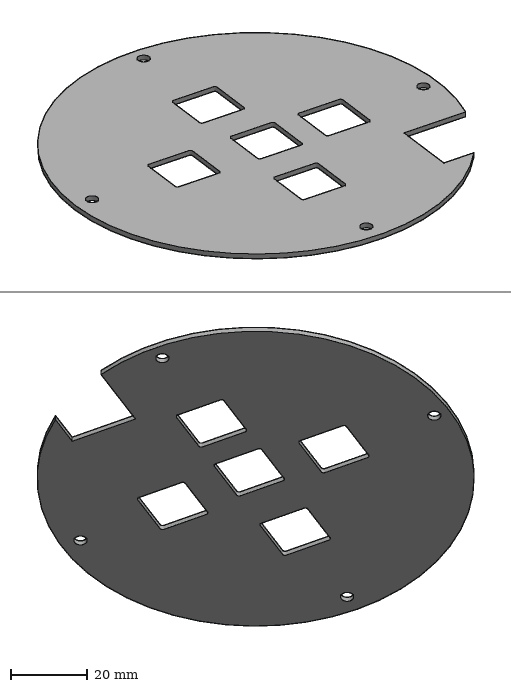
import cadquery as cq

plate_diameter = 114.9
plate_thickness = 1.5

screw_hole_diameter = 3.5
left_hole_x = -53.0
right_hole_x = 52.0
top_hole_y = 53.0
bottom_hole_y = -52.0
screw_hole_centers = [
    (left_hole_x, 0),
    (right_hole_x, 0),
    (0, top_hole_y),
    (0, bottom_hole_y),
]

window_size = 14.0
window_corner_radius = 0.7
cross_x = 0.3
middle_row_y = 0.7
side_spacing = 23.9
center_window_y = 3.0
upper_window_y = 24.5
lower_window_y = -23.1
window_centers = [
    (cross_x, center_window_y),
    (cross_x, upper_window_y),
    (cross_x, lower_window_y),
    (cross_x - side_spacing, middle_row_y),
    (cross_x + side_spacing, middle_row_y),
]

notch_left_x = 17.2
notch_width = 18.7
notch_floor_y = 35.3
notch_height = plate_diameter / 2 - notch_floor_y


def make_plate():
    return cq.Workplane("XY").circle(plate_diameter / 2).extrude(plate_thickness)


def make_screw_holes():
    return (
        cq.Workplane("XY")
        .pushPoints(screw_hole_centers)
        .circle(screw_hole_diameter / 2)
        .extrude(plate_thickness)
    )


def make_windows():
    return (
        cq.Workplane("XY")
        .pushPoints(window_centers)
        .rect(window_size, window_size)
        .extrude(plate_thickness)
        .edges("|Z")
        .fillet(window_corner_radius)
    )


def make_notch():
    return (
        cq.Workplane("XY")
        .moveTo(notch_left_x, notch_floor_y)
        .rect(notch_width, notch_height, centered=False)
        .extrude(plate_thickness)
    )


result = make_plate().cut(make_screw_holes()).cut(make_windows()).cut(make_notch())